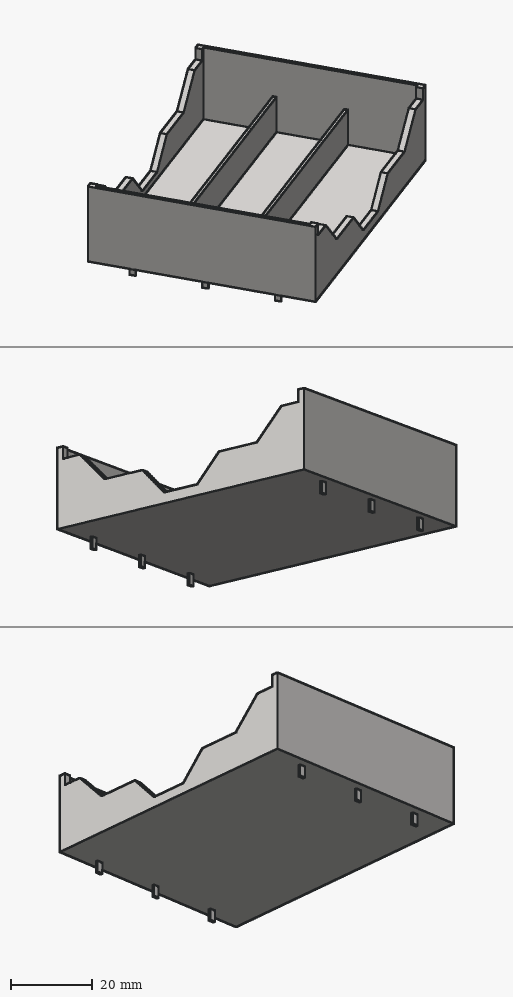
import cadquery as cq

WIDTH = 59.5
LENGTH = 77.6
HEIGHT = 20.95
OVERALL_HEIGHT = 24.0

SIDE_WALL = 1.8
END_WALL = 0.9
FLOOR = 0.9

POST_DEPTH = 1.9
SHOULDER_Z = 17.8
SHOULDER_HALF_LENGTH = 31.65
LEDGE_Z = 9.9
LEDGE_OUTER_HALF_LENGTH = 23.9
LEDGE_INNER_HALF_LENGTH = 12.0
NOTCH_Z = 2.9
NOTCH_HALF_LENGTH = 5.2

DIVIDER_THICKNESS = 0.9
DIVIDER_TOP_Z = 10.8
DIVIDER_SPACING = 18.7

PIN_WIDTH = 1.55
PIN_THICKNESS = 0.6
PIN_LENGTH = OVERALL_HEIGHT - HEIGHT
PIN_SPACING = 19.0
PIN_ROW_Y = 36.1


def open_box():
    box = cq.Workplane("XY").box(WIDTH, LENGTH, HEIGHT, centered=(True, True, False))
    cavity = (
        cq.Workplane("XY")
        .workplane(offset=FLOOR)
        .rect(WIDTH - 2 * SIDE_WALL, LENGTH - 2 * END_WALL)
        .extrude(HEIGHT)
    )
    return box.cut(cavity)


def side_wall_cutout():
    """Stepped profile, symmetric in Y, running across the full width."""
    post_face = LENGTH / 2 - POST_DEPTH
    right_half = [
        (NOTCH_HALF_LENGTH, NOTCH_Z),
        (LEDGE_INNER_HALF_LENGTH, LEDGE_Z),
        (LEDGE_OUTER_HALF_LENGTH, LEDGE_Z),
        (SHOULDER_HALF_LENGTH, SHOULDER_Z),
        (post_face, SHOULDER_Z),
        (post_face, HEIGHT),
    ]
    left_half = [(-y, z) for y, z in reversed(right_half)]
    profile = cq.Workplane("YZ").polyline(right_half + left_half).close()
    return profile.extrude(WIDTH / 2, both=True)


def divider(x):
    inner_length = LENGTH - 2 * END_WALL
    plate = cq.Workplane("XY").box(
        DIVIDER_THICKNESS, inner_length, DIVIDER_TOP_Z - FLOOR, centered=(True, True, False)
    )
    return plate.translate((x, 0, FLOOR))


def make_housing():
    housing = open_box().cut(side_wall_cutout())
    for side in (-1, 1):
        housing = housing.union(divider(side * DIVIDER_SPACING / 2))
    return housing


def make_pin(x, y):
    pin = cq.Workplane("XY").box(PIN_WIDTH, PIN_THICKNESS, PIN_LENGTH, centered=(True, True, False))
    return pin.translate((x, y, -PIN_LENGTH))


housing = make_housing()

pins = []
for column in (-1, 0, 1):
    for end in (-1, 1):
        pins.append(make_pin(column * PIN_SPACING, end * PIN_ROW_Y))

result = cq.Compound.makeCompound([housing.val(), *[pin.val() for pin in pins]])